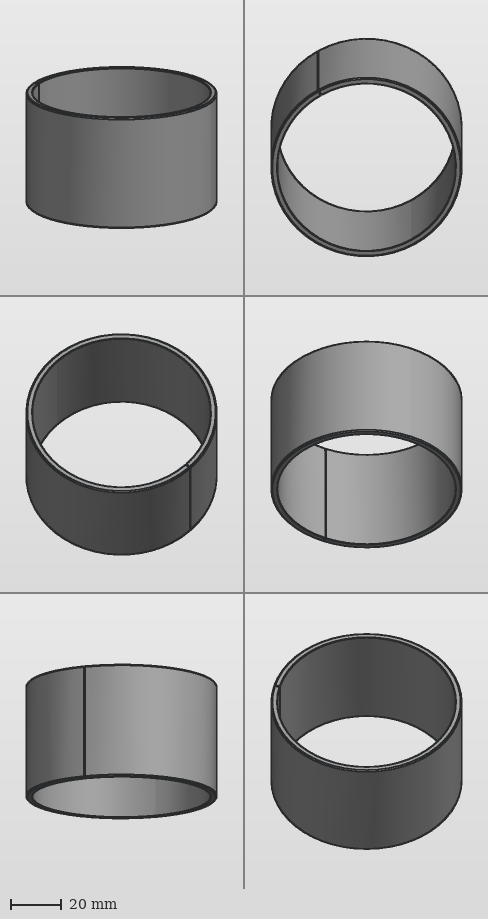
import cadquery as cq

outer_diameter = 75.0
wall = 2.5
height = 45.0
outer_chamfer = 0.5
inner_chamfer = 0.2
split_gap = 0.5

outer_radius = outer_diameter / 2
inner_radius = outer_radius - wall

wall_section = (
    cq.Workplane("XZ")
    .moveTo(inner_radius + inner_chamfer, 0)
    .lineTo(outer_radius - outer_chamfer, 0)
    .lineTo(outer_radius, outer_chamfer)
    .lineTo(outer_radius, height - outer_chamfer)
    .lineTo(outer_radius - outer_chamfer, height)
    .lineTo(inner_radius + inner_chamfer, height)
    .lineTo(inner_radius, height - inner_chamfer)
    .lineTo(inner_radius, inner_chamfer)
    .close()
)
bushing = wall_section.revolve(360, (0, 0, 0), (0, 1, 0))

split = cq.Workplane("XY").box(
    outer_radius, split_gap, height, centered=False
).translate((-outer_radius, 0, 0))

result = bushing.cut(split)